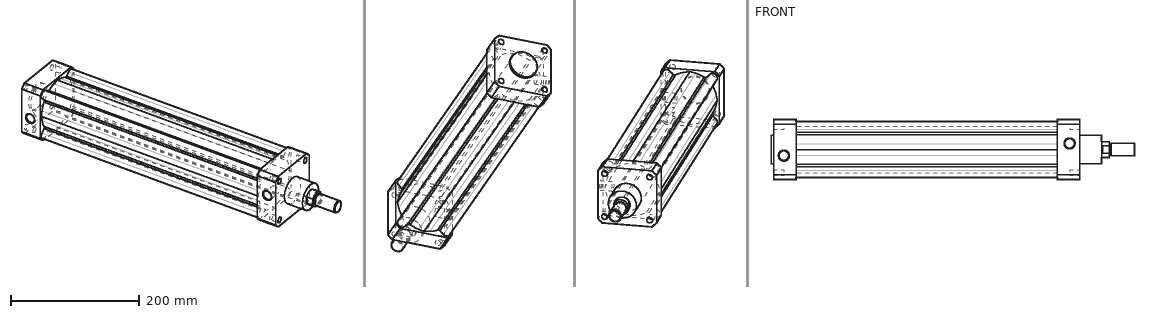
import cadquery as cq
import math

total_length = 568.0
head_width = 94.0
head_length = 35.0
barrel_length = 408.0

boss_diameter = 45.0
rear_boss_length = 4.0
front_boss_length = 34.0

head_corner_radius = 61.5
screw_hole_spacing = 72.0
screw_hole_diameter = 9.0
screw_hole_depth = 16.0

port_diameter = 15.0
port_mouth_diameter = 17.0
port_depth = 20.0
port_inset = 16.0
port_offset = 9.5

barrel_radius = 43.0
side_peak = 44.0
floor_height = 36.5
rib_offset = 37.0
rib_radius = 7.0

rod_diameter = 25.0
wrench_width = 22.0
collar_length = 12.0
wrench_start = 1.5
neck_diameter = 17.5
neck_length = 2.0
thread_diameter = 20.0
thread_chamfer = 1.2

rear_head_start = -total_length / 2 + rear_boss_length
barrel_start = rear_head_start + head_length
front_head_start = barrel_start + barrel_length
front_head_end = front_head_start + head_length
front_boss_end = front_head_end + front_boss_length
rod_end = total_length / 2


def disc(start, length, diameter):
    """Cylinder on the X axis."""
    return cq.Workplane("YZ", origin=(start, 0, 0)).circle(diameter / 2).extrude(length)


def head_block(start):
    """Square block whose four corners are cut by one large cylinder."""
    square = cq.Workplane("YZ", origin=(start, 0, 0)).rect(head_width, head_width).extrude(head_length)
    return square.intersect(disc(start, head_length, 2 * head_corner_radius))


def screw_holes(face_x, direction):
    """Four blind holes bored from an outer head face."""
    return (
        cq.Workplane("YZ", origin=(face_x, 0, 0))
        .rect(screw_hole_spacing, screw_hole_spacing, forConstruction=True)
        .vertices()
        .circle(screw_hole_diameter / 2)
        .extrude(direction * screw_hole_depth)
    )


def port(x, z):
    """Blind air port in the -Y side of a head, with a chamfered mouth."""
    mouth_chamfer = (port_mouth_diameter - port_diameter) / 2
    bore = cq.Solid.makeCylinder(
        port_diameter / 2, port_depth, cq.Vector(x, -head_width / 2, z), cq.Vector(0, 1, 0)
    )
    mouth = cq.Solid.makeCone(
        port_mouth_diameter / 2,
        port_diameter / 2,
        mouth_chamfer,
        cq.Vector(x, -head_width / 2, z),
        cq.Vector(0, 1, 0),
    )
    return cq.Workplane(bore.fuse(mouth))


def make_rear_head():
    boss = disc(-total_length / 2, rear_boss_length, boss_diameter)
    head = head_block(rear_head_start).union(boss)
    head = head.cut(screw_holes(rear_head_start, 1))
    return head.cut(port(rear_head_start + port_inset, -port_offset))


def make_front_head():
    boss = disc(front_head_end, front_boss_length, boss_diameter)
    head = head_block(front_head_start).union(boss)
    head = head.cut(screw_holes(front_head_end, -1))
    return head.cut(port(front_head_end - port_inset, port_offset))


def make_barrel():
    """Extruded profile: round body, a shallow ridge on each side and a rib at each corner."""
    tangent_angle = math.acos(barrel_radius / side_peak)
    tangent_half_width = barrel_radius * math.sin(tangent_angle)
    tangent_height = barrel_radius * math.cos(tangent_angle)
    floor_start = math.sqrt(barrel_radius**2 - floor_height**2)
    arc_middle_angle = (tangent_angle + math.asin(floor_start / barrel_radius)) / 2
    arc_middle = (
        barrel_radius * math.sin(arc_middle_angle),
        barrel_radius * math.cos(arc_middle_angle),
    )
    rib_tangent = rib_radius * math.sin(math.pi / 4)
    rib_foot = (rib_offset - rib_tangent, rib_offset + rib_tangent)
    floor_end = rib_foot[0] - (rib_foot[1] - floor_height)

    def mirrored(point):
        """Mirror across the 45 degree line through a corner."""
        return (point[1], point[0])

    def turned(point, quarter):
        """Turn clockwise by quarter turns about the axis."""
        y, z = point
        for _ in range(quarter):
            y, z = z, -y
        return (y, z)

    ridge = (0, side_peak)
    arc_start = (tangent_half_width, tangent_height)
    arc_end = (floor_start, floor_height)
    floor_corner = (floor_end, floor_height)
    rib_top = (rib_offset + rib_tangent, rib_offset + rib_tangent)

    profile = cq.Workplane("YZ", origin=(barrel_start, 0, 0)).moveTo(*ridge)
    for quarter in range(4):
        profile = (
            profile.lineTo(*turned(arc_start, quarter))
            .threePointArc(turned(arc_middle, quarter), turned(arc_end, quarter))
            .lineTo(*turned(floor_corner, quarter))
            .lineTo(*turned(rib_foot, quarter))
            .threePointArc(turned(rib_top, quarter), turned(mirrored(rib_foot), quarter))
            .lineTo(*turned(mirrored(floor_corner), quarter))
            .lineTo(*turned(mirrored(arc_end), quarter))
            .threePointArc(turned(mirrored(arc_middle), quarter), turned(mirrored(arc_start), quarter))
            .lineTo(*turned(ridge, quarter + 1))
        )
    return profile.close().extrude(barrel_length)


def make_rod():
    """Round collar with two wrench flats, an undercut neck and a chamfered thread end."""
    collar_end = front_boss_end + collar_length
    thread_start = collar_end + neck_length
    flats_length = collar_length - wrench_start
    collar = disc(front_boss_end, wrench_start, rod_diameter)
    flats = disc(front_boss_end + wrench_start, flats_length, rod_diameter).intersect(
        cq.Workplane("YZ", origin=(front_boss_end + wrench_start, 0, 0))
        .rect(wrench_width, rod_diameter)
        .extrude(flats_length)
    )
    neck = disc(collar_end, neck_length, neck_diameter)
    thread = disc(thread_start, rod_end - thread_start, thread_diameter)
    thread = thread.faces("<X or >X").chamfer(thread_chamfer)
    return collar.union(flats).union(neck).union(thread)


rear_head = make_rear_head()
front_head = make_front_head()
barrel = make_barrel()
rod = make_rod()

result = cq.Compound.makeCompound([rear_head.val(), front_head.val(), barrel.val(), rod.val()])